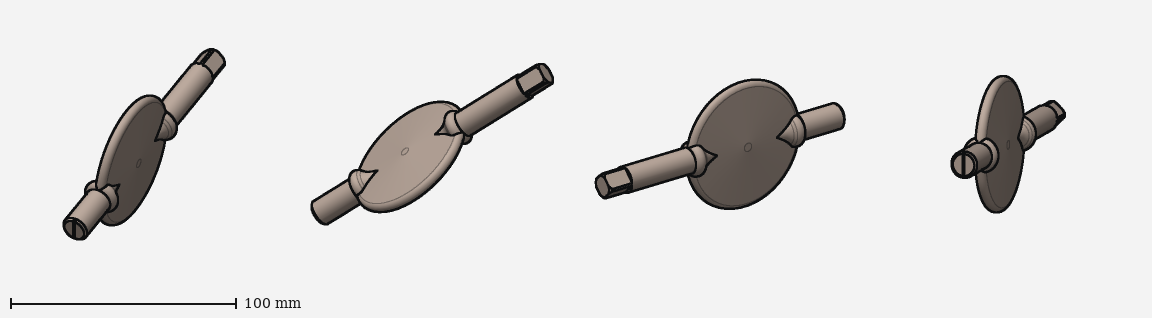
import cadquery as cq
import math

shaft_radius = 6.0
drive_end_y = 76.5
plain_end_y = -52.0
end_chamfer = 1.0

disc_radius = 30.345
face_radius = 28.1
rim_half_thickness = 2.5
centre_half_thickness = 4.0
centre_flat_radius = 2.0

hub_radius = 8.0
hub_face_y = 29.75
hub_round_radius = 3.0
hub_flank_angle = math.radians(45)
hub_blend_radius = 9.7

drive_length = 12.0
drive_across_flats = 9.35
drive_turn = 45
slot_width = 1.0
slot_depth = 1.0


def make_disc():
    """Disc with slightly conical faces, a small central flat and a rounded rim."""
    profile = (
        cq.Workplane("XY")
        .moveTo(-centre_half_thickness, 0)
        .lineTo(-centre_half_thickness, centre_flat_radius)
        .lineTo(-rim_half_thickness, face_radius)
        .threePointArc((0, disc_radius), (rim_half_thickness, face_radius))
        .lineTo(centre_half_thickness, centre_flat_radius)
        .lineTo(centre_half_thickness, 0)
        .close()
    )
    return profile.revolve(360, (0, 0, 0), (1, 0, 0))


def make_hub(side):
    """Rounded collar whose 45 degree flank sweeps down tangent to the disc face."""
    round_r = hub_radius - hub_round_radius
    round_y = hub_face_y - math.sqrt(hub_round_radius**2 - (shaft_radius - round_r) ** 2)

    flank_r = round_r + hub_round_radius * math.cos(hub_flank_angle)
    flank_y = round_y - hub_round_radius * math.sin(hub_flank_angle)

    face_slope = (centre_half_thickness - rim_half_thickness) / (face_radius - centre_flat_radius)
    face_angle = math.atan(face_slope)
    flank_slope = math.tan(hub_flank_angle)
    face_r_at_flank = centre_half_thickness - face_slope * (flank_y - centre_flat_radius)
    corner_y = flank_y - (flank_r - face_r_at_flank) / (flank_slope + face_slope)
    corner_r = flank_r - flank_slope * (flank_y - corner_y)

    tangent_length = hub_blend_radius * math.tan((hub_flank_angle + face_angle) / 2)
    blend_top_r = corner_r + tangent_length * math.sin(hub_flank_angle)
    blend_top_y = corner_y + tangent_length * math.cos(hub_flank_angle)
    tip_r = corner_r + tangent_length * math.sin(face_angle)
    tip_y = corner_y - tangent_length * math.cos(face_angle)
    blend_centre_r = tip_r + hub_blend_radius * math.cos(face_angle)
    blend_centre_y = tip_y + hub_blend_radius * math.sin(face_angle)
    blend_mid_angle = (hub_flank_angle - face_angle) / 2
    blend_mid_r = blend_centre_r - hub_blend_radius * math.cos(blend_mid_angle)
    blend_mid_y = blend_centre_y + hub_blend_radius * math.sin(blend_mid_angle)

    profile = (
        cq.Workplane("XY")
        .moveTo(0, side * hub_face_y)
        .lineTo(shaft_radius, side * hub_face_y)
        .threePointArc((hub_radius, side * round_y), (flank_r, side * flank_y))
        .lineTo(blend_top_r, side * blend_top_y)
        .threePointArc((blend_mid_r, side * blend_mid_y), (tip_r, side * tip_y))
        .lineTo(0, side * tip_y)
        .close()
    )
    return profile.revolve(360, (0, 0, 0), (0, 1, 0))


def make_stub(end_y):
    """Round shaft stub from a hub face out to a chamfered end."""
    side = math.copysign(1, end_y)
    stub = cq.Workplane("XZ", origin=(0, end_y, 0)).circle(shaft_radius)
    stub = stub.extrude(end_y - side * hub_face_y)
    return stub.faces(">Y" if side > 0 else "<Y").chamfer(end_chamfer)


def cut_square_drive(shaft):
    """Mill four flats on the drive end, leaving narrow round lands at the corners."""
    end_plane = cq.Workplane("XZ", origin=(0, drive_end_y, 0))
    square = end_plane.rect(drive_across_flats, drive_across_flats).extrude(drive_length)
    square = square.rotate((0, 0, 0), (0, 1, 0), drive_turn)
    waste = end_plane.circle(2 * shaft_radius).extrude(drive_length)
    return shaft.cut(waste.cut(square))


def cut_slot(shaft):
    """Cut the slot across the plain end, parallel to the disc."""
    slot = cq.Workplane("XY").box(slot_width, 2 * slot_depth, 2 * shaft_radius)
    return shaft.cut(slot.translate((0, plain_end_y, 0)))


drive_stub = cut_square_drive(make_stub(drive_end_y))
plain_stub = cut_slot(make_stub(plain_end_y))
body = make_disc().union(make_hub(1)).union(make_hub(-1))
result = body.union(drive_stub).union(plain_stub)